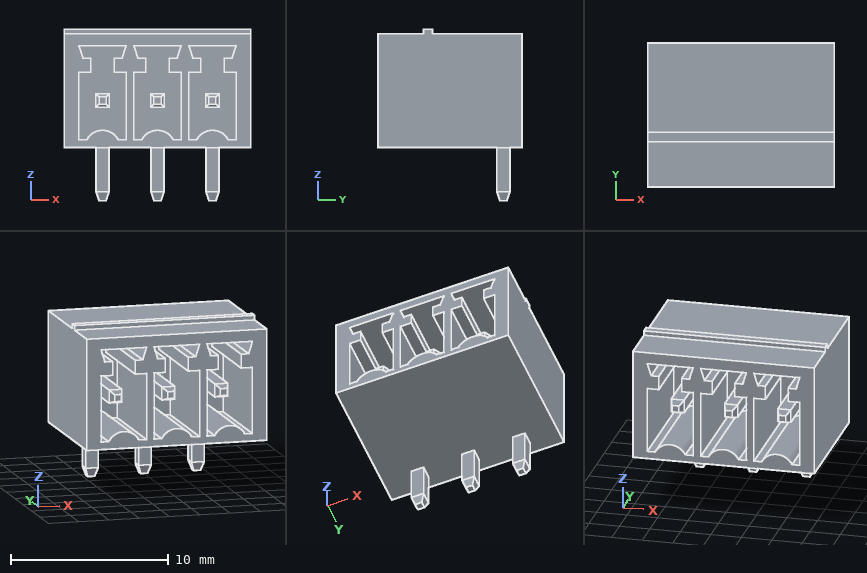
import cadquery as cq

pole_count = 3
pitch = 3.5
housing_width = 11.9
housing_depth = 9.2
housing_height = 7.25

rib_front = 2.9
rib_width = 0.6
rib_height = 0.3

cavity_depth = 7.0
cavity_half_width = 1.5
cavity_floor = 0.5
shoulder_height = 4.8
dovetail_base = 5.7
cavity_top = 6.5
neck_half_width = 0.75
dovetail_base_half_width = 1.25
ridge_half_width = 1.0
ridge_top = 1.1

pin_size = 0.85
pin_tip_size = 0.45
pin_taper_length = 0.6
contact_height = 3.0
contact_front = 1.4
tail_y = 8.0
tail_length = 3.4


def make_housing():
    body = cq.Workplane("XY").box(housing_width, housing_depth, housing_height, centered=(True, False, False))
    rib = (
        cq.Workplane("XY")
        .box(housing_width, rib_width, rib_height, centered=(True, False, False))
        .translate((0, rib_front, housing_height))
    )
    return body.union(rib)


def make_cavity():
    """Cavity centred on X = 0: dovetail slot above a neck, ridge along the floor."""
    return (
        cq.Workplane("XZ")
        .moveTo(-cavity_half_width, cavity_floor)
        .lineTo(-ridge_half_width, cavity_floor)
        .threePointArc((0, ridge_top), (ridge_half_width, cavity_floor))
        .lineTo(cavity_half_width, cavity_floor)
        .lineTo(cavity_half_width, shoulder_height)
        .lineTo(neck_half_width, shoulder_height)
        .lineTo(neck_half_width, dovetail_base)
        .lineTo(dovetail_base_half_width, dovetail_base)
        .lineTo(cavity_half_width, cavity_top)
        .lineTo(-cavity_half_width, cavity_top)
        .lineTo(-dovetail_base_half_width, dovetail_base)
        .lineTo(-neck_half_width, dovetail_base)
        .lineTo(-neck_half_width, shoulder_height)
        .lineTo(-cavity_half_width, shoulder_height)
        .close()
        .extrude(-cavity_depth)
    )


def make_bar(start_plane, length):
    """Square bar along the plane normal, with a tapered far end."""
    shank_length = length - pin_taper_length
    shank = start_plane.rect(pin_size, pin_size).extrude(shank_length)
    tip = (
        start_plane.workplane(offset=shank_length)
        .rect(pin_size, pin_size)
        .workplane(offset=pin_taper_length)
        .rect(pin_tip_size, pin_tip_size)
        .loft(ruled=True)
    )
    return shank.union(tip)


def make_pin():
    """Bent pin centred on X = 0: contact toward the mating face, tail downward."""
    contact_start = cq.Workplane("XZ", origin=(0, tail_y + pin_size / 2, contact_height))
    contact = make_bar(contact_start, tail_y + pin_size / 2 - contact_front)
    tail_start = cq.Workplane("XY", origin=(0, tail_y, contact_height)).transformed(rotate=(180, 0, 0))
    tail = make_bar(tail_start, contact_height + tail_length)
    return contact.union(tail)


result = make_housing()
for pole in range(pole_count):
    pole_x = (pole - (pole_count - 1) / 2) * pitch
    result = result.cut(make_cavity().translate((pole_x, 0, 0)))
    result = result.union(make_pin().translate((pole_x, 0, 0)))